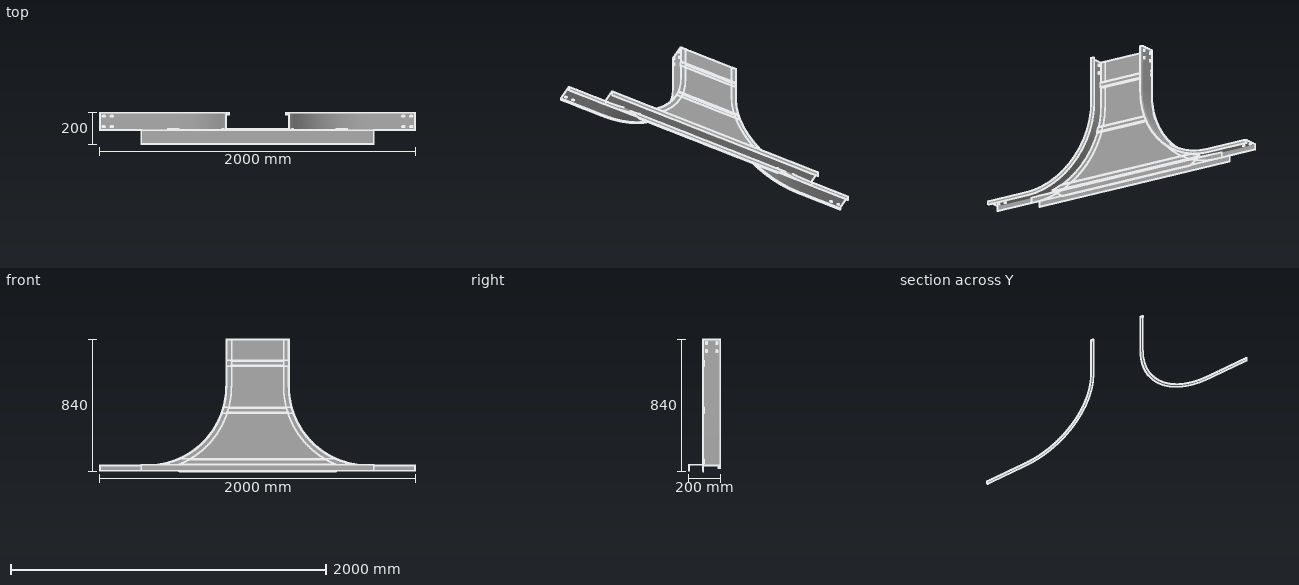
import cadquery as cq
import math

sheet = 1.5
fold_radius = 3.5

tee_length = 2000.0
tee_height = 840.0
rail_depth = 110.0
rail_bottom = 5.0
front_flange = 35.0
back_flange = 20.0
back_lip = 12.0
throat_half_width = 200.0
bend_radius = 500.0
run_level = rail_bottom + front_flange
bend_center_x = throat_half_width + bend_radius
bend_center_z = run_level + bend_radius

slot_length = 14.0
slot_width = 6.0
slot_end_distances = (24.0, 75.0)
slot_edge_distance = 22.0

plate_foot_half_width = 495.0
plate_corner_x = 570.0
groove_depth = 6.0
groove_width = 39.0
groove_wall_run = 6.0
groove_levels = (61.0, 390.0, 687.0)

cover_length = 1476.0
cover_depth = 90.0
cover_top = 44.0
cover_flange = 39.0


def bend_point(radius, angle):
    """Point on a circle around the bend center; angle 0 faces the throat, 90 the run."""
    turn = math.radians(angle)
    return bend_center_x - radius * math.cos(turn), bend_center_z - radius * math.sin(turn)


def mirrored(point):
    return -point[0], point[1]


def beside(point, step):
    """Point one sheet thickness to the left of a point, looking along the unit step."""
    return point[0] - sheet * step[1], point[1] + sheet * step[0]


def follow_folds(section, side):
    """Extends a section along one side of the sheet: flats joined by tangent fold arcs."""
    for fold_start, fold_end in zip(side[1::2], side[2::2]):
        section = section.lineTo(*fold_start).tangentArcPoint(fold_end, relative=False)
    return section.lineTo(*side[-1])


def folded_section(plane, corners):
    """Closed section of a sheet folded at right angles to the left along its outer corners."""
    steps = []
    for start, end in zip(corners, corners[1:]):
        length = math.dist(start, end)
        steps.append(((end[0] - start[0]) / length, (end[1] - start[1]) / length))

    outer = [corners[0]]
    inner = [beside(corners[0], steps[0])]
    for corner, before, after in zip(corners[1:], steps, steps[1:]):
        for step, shift in ((before, -fold_radius), (after, fold_radius)):
            tangent_point = (corner[0] + shift * step[0], corner[1] + shift * step[1])
            outer.append(tangent_point)
            inner.append(beside(tangent_point, step))
    outer.append(corners[-1])
    inner.append(beside(corners[-1], steps[-1]))

    section = follow_folds(plane.moveTo(*outer[0]), outer).lineTo(*inner[-1])
    return follow_folds(section, inner[::-1]).close()


def fixing_slots():
    """Cutters for the slots through the web at the run end and the throat end."""
    run_plane = cq.Workplane("XY", origin=(0, 0, run_level))
    throat_plane = cq.Workplane("YZ", origin=(throat_half_width, 0, 0))
    rows = (slot_edge_distance, rail_depth - slot_edge_distance)
    run_places = [(tee_length / 2 - end, y) for end in slot_end_distances for y in rows]
    throat_places = [(y, tee_height - end) for end in slot_end_distances for y in rows]
    run_slots = run_plane.pushPoints(run_places).slot2D(slot_length, slot_width)
    throat_slots = throat_plane.pushPoints(throat_places).slot2D(slot_length, slot_width, 90)
    return run_slots.extrude(sheet, both=True).add(throat_slots.extrude(sheet, both=True))


def side_rail():
    """Right-hand rail: front flange, web, back flange and lip, swept down the throat and out."""
    web_x = throat_half_width
    section = folded_section(
        cq.Workplane("XY", origin=(0, 0, tee_height)),
        [
            (web_x - front_flange, 0),
            (web_x, 0),
            (web_x, rail_depth),
            (web_x - back_flange, rail_depth),
            (web_x - back_flange, rail_depth - back_lip),
        ],
    )
    path = (
        cq.Workplane("XZ")
        .moveTo(web_x, tee_height)
        .lineTo(*bend_point(bend_radius, 0))
        .threePointArc(bend_point(bend_radius, 45), bend_point(bend_radius, 90))
        .lineTo(tee_length / 2, run_level)
    )
    rail = section.sweep(path)
    for slot in fixing_slots().vals():
        rail = rail.cut(cq.Workplane(slot))
    return rail


def plate_outline():
    """Block with the plate's front outline: it fits between the rail folds and tapers to its foot."""
    radius = bend_radius + fold_radius
    corner_angle = math.degrees(math.acos((bend_center_x - plate_corner_x) / radius))
    top = (throat_half_width - fold_radius, tee_height)
    bend_start = bend_point(radius, 0)
    bend_middle = bend_point(radius, corner_angle / 2)
    corner = bend_point(radius, corner_angle)
    foot = (plate_foot_half_width, 0)
    return (
        cq.Workplane("XZ")
        .moveTo(*foot)
        .lineTo(*corner)
        .threePointArc(bend_middle, bend_start)
        .lineTo(*top)
        .lineTo(*mirrored(top))
        .lineTo(*mirrored(bend_start))
        .threePointArc(mirrored(bend_middle), mirrored(corner))
        .lineTo(*mirrored(foot))
        .close()
        .extrude(-rail_depth)
    )


def base_plate():
    """Grooved sheet lying behind the front flanges of the rails."""
    front_face = [(sheet, 0)]
    for level in groove_levels:
        bottom = level - groove_width / 2
        top = level + groove_width / 2
        front_face += [
            (sheet, bottom),
            (sheet + groove_depth, bottom + groove_wall_run),
            (sheet + groove_depth, top - groove_wall_run),
            (sheet, top),
        ]
    front_face.append((sheet, tee_height))
    back_face = [(y + sheet, z) for y, z in reversed(front_face)]
    grooved_sheet = (
        cq.Workplane("YZ")
        .polyline(front_face + back_face)
        .close()
        .extrude(tee_length / 2, both=True)
    )
    return grooved_sheet.intersect(plate_outline())


def cover():
    """Downward-open channel in front of the rails."""
    section = folded_section(
        cq.Workplane("YZ"),
        [
            (0, cover_top - cover_flange),
            (0, cover_top),
            (-cover_depth, cover_top),
            (-cover_depth, cover_top - cover_flange),
        ],
    )
    return section.extrude(cover_length / 2, both=True)


right_rail = side_rail()
left_rail = right_rail.mirror("YZ")
plate = base_plate()
cover_channel = cover()

result = cq.Compound.makeCompound(
    [right_rail.val(), left_rail.val(), plate.val(), cover_channel.val()]
)